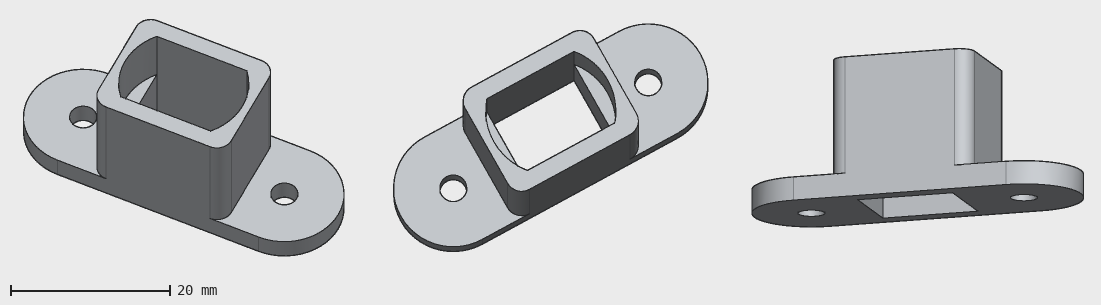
import cadquery as cq

length = 43.0
width = 15.0
flange_thickness = 3.0
hole_diameter = 3.4

total_height = 18.0
housing_length = 18.5
corner_radius = 2.0

window_length = 12.5
window_width = 10.5
pocket_diameter = 16.35
pocket_depth = 8.0

hole_spacing = length - width
pocket_floor = total_height - pocket_depth


def make_flange():
    return cq.Workplane("XY").slot2D(length, width).extrude(flange_thickness)


def make_housing():
    block = cq.Workplane("XY").box(
        housing_length, width, total_height - flange_thickness, centered=(True, True, False)
    )
    return block.edges("|Z").fillet(corner_radius).translate((0, 0, flange_thickness))


def make_window():
    return cq.Workplane("XY").rect(window_length, window_width).extrude(total_height)


def make_pocket():
    floor_plane = cq.Workplane("XY").workplane(offset=pocket_floor)
    disc = floor_plane.circle(pocket_diameter / 2).extrude(pocket_depth)
    band = floor_plane.rect(pocket_diameter, window_width).extrude(pocket_depth)
    return disc.intersect(band)


def make_mounting_holes():
    centers = [(-hole_spacing / 2, 0), (hole_spacing / 2, 0)]
    return cq.Workplane("XY").pushPoints(centers).circle(hole_diameter / 2).extrude(flange_thickness)


body = make_flange().union(make_housing())
result = body.cut(make_window()).cut(make_pocket()).cut(make_mounting_holes())